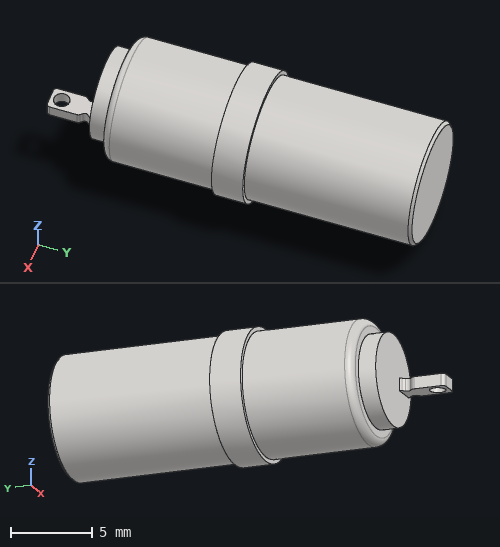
import cadquery as cq


overall_length = 24.4

barrel_diameter = 8.0
collar_diameter = 8.56
collar_front = 7.3
collar_length = 2.05
front_edge_radius = 0.51
rear_edge_chamfer = 0.2

insulator_diameter = 5.98
insulator_thickness = 1.15

lug_length = 3.0
lug_width = 1.54
lug_thickness = 0.8
lug_offset = 1.75
lug_edge_radius = 0.25
notch_depth = 0.35
notch_half_height = 0.4
notch_distance = 0.5
eye_diameter = 1.0
eye_to_tip = 0.75

shell_length = overall_length - insulator_thickness - lug_length
lug_base = -insulator_thickness
lug_tip = lug_base - lug_length
notch_y = lug_base - notch_distance


def cylinder_along_y(diameter, start, length):
    """Cylinder on the Y axis that spans Y = start to Y = start + length."""
    plane = cq.Workplane("XZ", origin=(0, start, 0))
    return plane.circle(diameter / 2).extrude(-length)


def make_shell():
    """Barrel with a rounded front rim and a chamfered rear rim, plus its collar."""
    barrel = cylinder_along_y(barrel_diameter, 0, shell_length)
    barrel = barrel.faces("<Y").edges().fillet(front_edge_radius)
    barrel = barrel.faces(">Y").edges().chamfer(rear_edge_chamfer)
    collar = cylinder_along_y(collar_diameter, collar_front, collar_length)
    return barrel.union(collar)


def make_insulator():
    """Plain disc that sits against the front face of the shell."""
    return cylinder_along_y(insulator_diameter, -insulator_thickness, insulator_thickness)


def make_lug():
    """Flat tab with a necked root, rounded corners and a wire eye near its tip."""
    plate = cq.Workplane("XY").box(lug_width, lug_length, lug_thickness)
    plate = plate.translate((lug_offset, lug_base - lug_length / 2, 0))

    for side in (-1, 1):
        edge_x = lug_offset + side * lug_width / 2
        notch = (
            cq.Workplane("XY")
            .moveTo(edge_x, notch_y - notch_half_height)
            .lineTo(edge_x - side * notch_depth, notch_y)
            .lineTo(edge_x, notch_y + notch_half_height)
            .close()
            .extrude(lug_thickness / 2, both=True)
        )
        plate = plate.cut(notch)

    plate = plate.edges("|Z and (not >Y)").fillet(lug_edge_radius)

    eye = (
        cq.Workplane("XY")
        .center(lug_offset, lug_tip + eye_to_tip)
        .circle(eye_diameter / 2)
        .extrude(lug_thickness / 2, both=True)
    )
    return plate.cut(eye)


shell = make_shell()
insulator = make_insulator()
lug = make_lug()

result = cq.Compound.makeCompound([shell.val(), insulator.val(), lug.val()])